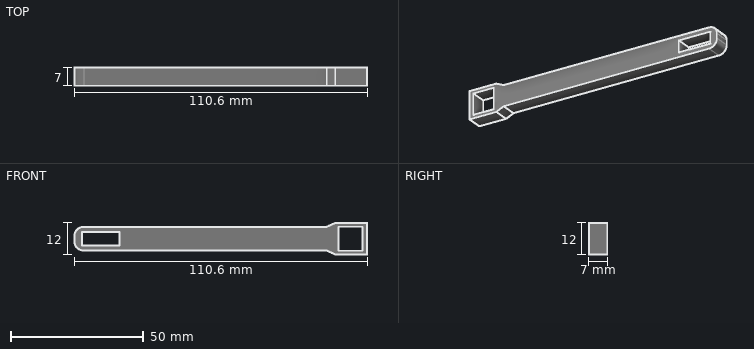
import cadquery as cq

LENGTH = 110.63
THICKNESS = 7.0

HEAD_HEIGHT = 12.0
HEAD_LENGTH = 12.0
HEAD_WINDOW = 9.0
HEAD_END_WALL = 1.75

ARM_HEIGHT = 9.0
TAPER_LENGTH = 3.3
END_RADIUS = 3.5

SLOT_LENGTH = 14.0
SLOT_HEIGHT = 5.0
SLOT_END_WALL = 3.0

HEAD_START = LENGTH - HEAD_LENGTH
TAPER_START = HEAD_START - TAPER_LENGTH
WINDOW_CENTER = LENGTH - HEAD_END_WALL - HEAD_WINDOW / 2
SLOT_CENTER = SLOT_END_WALL + SLOT_LENGTH / 2


def lever_body():
    """Arm flaring into a taller head, with the free end rounded."""
    arm_half = ARM_HEIGHT / 2
    head_half = HEAD_HEIGHT / 2
    outline = [
        (0, -arm_half),
        (TAPER_START, -arm_half),
        (HEAD_START, -head_half),
        (LENGTH, -head_half),
        (LENGTH, head_half),
        (HEAD_START, head_half),
        (TAPER_START, arm_half),
        (0, arm_half),
    ]
    body = cq.Workplane("XZ").polyline(outline).close().extrude(THICKNESS / 2, both=True)
    return body.edges("|Y").edges("<X").fillet(END_RADIUS)


def through_window(center_x, length, height):
    """Rectangular cutter passing through the full thickness."""
    return cq.Workplane("XY").box(length, THICKNESS, height).translate((center_x, 0, 0))


result = (
    lever_body()
    .cut(through_window(WINDOW_CENTER, HEAD_WINDOW, HEAD_WINDOW))
    .cut(through_window(SLOT_CENTER, SLOT_LENGTH, SLOT_HEIGHT))
)